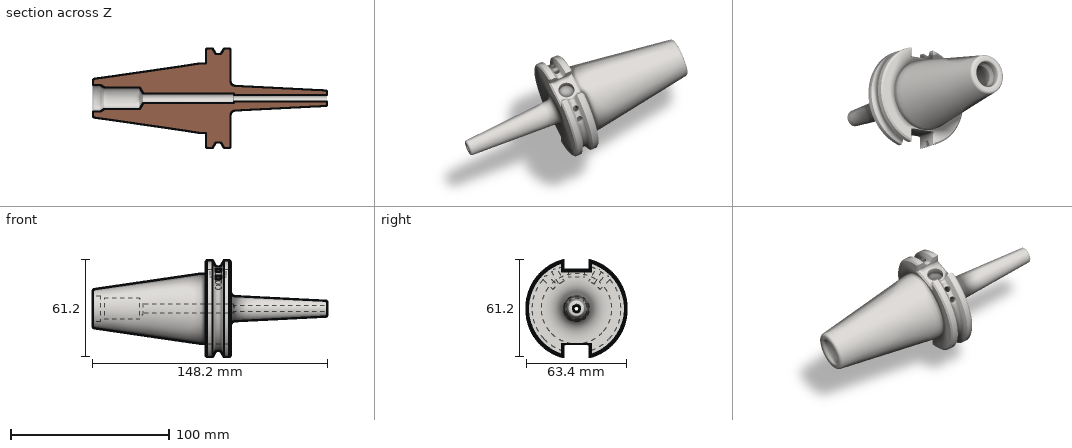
import cadquery as cq
import math

total_length = 148.2

gauge_x = 68.2
gauge_radius = 22.2
taper_on_diameter = 7 / 24
shank_end_radius = gauge_radius - gauge_x * taper_on_diameter / 2
shank_end_fillet = 1.8

flange_start = 71.3
flange_width = 16.0
flange_end = flange_start + flange_width
flange_middle = flange_start + flange_width / 2
flange_radius = 31.7
flange_chamfer = 1.0
flange_chamfer_angle = 45
hub_radius = 17.8

groove_start = flange_start + 4.5
groove_mouth = 7.3
groove_depth = 3.7
groove_wall_angle = 30
groove_floor_fillet = 1.2
groove_radius = flange_radius - groove_depth
groove_middle = groove_start + groove_mouth / 2

slot_width = 16.5
slot_floor_fillet = 0.9
top_slot_floor = 24.6
bottom_slot_floor = 22.4

chip_radius = 5.0
chip_depth = 4.6

groove_hole_radius = 2.0
groove_hole_depth = 8.9
groove_hole_angles = (-45, -30, 30, 45)

nose_root_radius = 8.2
nose_root_fillet = 2.7
nose_tip_radius = 5.0
nose_tip_fillet = 1.3

pilot_radius = 8.2
pilot_end = 5.0
mouth_fillet = 1.2
thread_radius = 6.7
thread_start = 7.4
thread_end = 29.6
drill_half_angle = 59
passage_radius = 2.8
passage_end = 89.0
outlet_radius = 2.0


def revolve_about_x(points):
    """Solid of revolution about the X axis from (x, radius) points."""
    return cq.Workplane("XZ").polyline(points).close().revolve(360, (0, 0, 0), (1, 0, 0))


def fillet_circle(body, x, radius, fillet_radius):
    """Fillet the circular edge of the given radius centred on the X axis at x."""
    tolerance = 0.001

    def is_wanted(edge):
        return (
            edge.geomType() == "CIRCLE"
            and abs(edge.Center().x - x) < tolerance
            and abs(edge.radius() - radius) < tolerance
        )

    return body.newObject(body.edges().filter(is_wanted).vals()).fillet(fillet_radius)


def make_core():
    """Taper shank and tool nose, joined by a hub buried in the flange."""
    core = revolve_about_x([
        (0, 0),
        (0, shank_end_radius),
        (gauge_x, gauge_radius),
        (flange_start, gauge_radius),
        (flange_start, hub_radius),
        (flange_end, hub_radius),
        (flange_end, nose_root_radius),
        (total_length, nose_tip_radius),
        (total_length, 0),
    ])
    core = fillet_circle(core, 0, shank_end_radius, shank_end_fillet)
    core = fillet_circle(core, flange_end, nose_root_radius, nose_root_fillet)
    return fillet_circle(core, total_length, nose_tip_radius, nose_tip_fillet)


def make_flange_disc():
    disc = cq.Workplane("YZ", origin=(flange_start, 0, 0)).circle(flange_radius).extrude(flange_width)
    disc = disc.edges().chamfer(flange_chamfer)

    wall_run = groove_depth * math.tan(math.radians(groove_wall_angle))
    floor_start = groove_start + wall_run
    floor_end = groove_start + groove_mouth - wall_run
    groove = revolve_about_x([
        (groove_start, flange_radius),
        (floor_start, groove_radius),
        (floor_end, groove_radius),
        (groove_start + groove_mouth, flange_radius),
    ])
    for x in (floor_start, floor_end):
        groove = fillet_circle(groove, x, groove_radius, groove_floor_fillet)
    return disc.cut(groove)


def make_slot(floor_height, floor_chamfer):
    """Cutter for an upward slot, flared where it leaves both flange faces."""
    height = flange_radius - floor_height
    slot = cq.Workplane("XY").box(flange_width, slot_width, height, centered=(True, True, False))
    slot = slot.edges("|X and <Z").fillet(slot_floor_fillet)
    slot = slot.translate((flange_middle, 0, floor_height))

    flare_bottom = floor_height - floor_chamfer
    flare_top = flange_radius + flange_chamfer
    flare = (
        cq.Workplane("YZ")
        .center(0, (flare_bottom + flare_top) / 2)
        .rect(slot_width + 2 * flange_chamfer, flare_top - flare_bottom)
        .extrude(flange_chamfer, taper=flange_chamfer_angle)
    )
    near_flare = flare.translate((flange_start, 0, 0))
    far_flare = flare.mirror("YZ").translate((flange_end, 0, 0))
    return slot.union(near_flare).union(far_flare)


def make_groove_holes():
    hole = (
        cq.Workplane("XY", origin=(groove_middle, 0, groove_radius - groove_hole_depth))
        .circle(groove_hole_radius)
        .extrude(groove_hole_depth + groove_depth)
    )
    holes = cq.Workplane("XY")
    for angle in groove_hole_angles:
        holes = holes.add(hole.rotate((0, 0, 0), (1, 0, 0), angle))
    return holes.combine()


def make_flange():
    top_slot = make_slot(top_slot_floor, flange_chamfer)
    bottom_slot = make_slot(bottom_slot_floor, 0).rotate((0, 0, 0), (1, 0, 0), 180)
    chip_pocket = (
        cq.Workplane("XY", origin=(flange_middle, 0, top_slot_floor - chip_depth))
        .circle(chip_radius)
        .extrude(flange_radius - top_slot_floor + chip_depth)
    )
    flange = make_flange_disc().cut(top_slot).cut(bottom_slot)
    return flange.cut(chip_pocket).cut(make_groove_holes())


def make_bore():
    drill_tip = (thread_radius - passage_radius) / math.tan(math.radians(drill_half_angle))
    outlet_tip = (passage_radius - outlet_radius) / math.tan(math.radians(drill_half_angle))
    return revolve_about_x([
        (0, 0),
        (0, pilot_radius),
        (pilot_end, pilot_radius),
        (thread_start, thread_radius),
        (thread_end, thread_radius),
        (thread_end + drill_tip, passage_radius),
        (passage_end, passage_radius),
        (passage_end + outlet_tip, outlet_radius),
        (total_length, outlet_radius),
        (total_length, 0),
    ])


body = make_core().union(make_flange()).cut(make_bore())
result = fillet_circle(body, 0, pilot_radius, mouth_fillet)